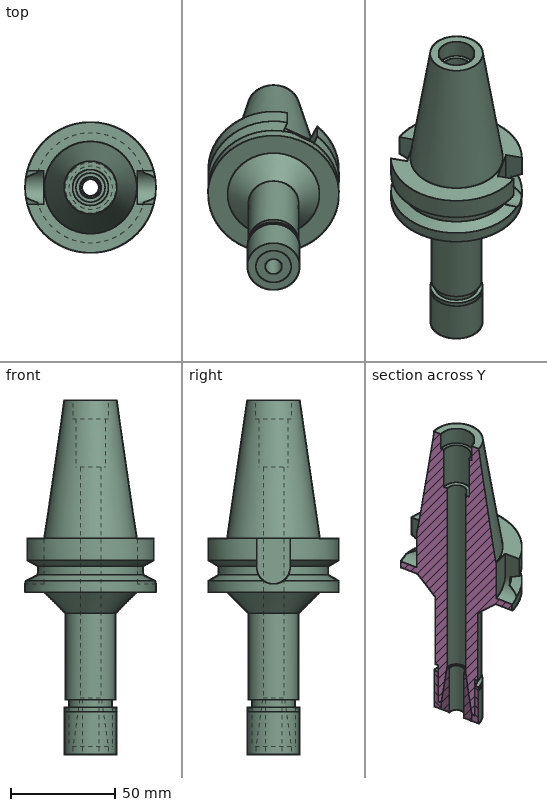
import cadquery as cq
import math


gauge_diameter = 44.45
taper_length = 65.4
taper_ratio = 7 / 24
small_end_diameter = gauge_diameter - taper_length * taper_ratio

flange_diameter = 63.0
flange_top = -1.0
flange_bottom = -27.0
groove_floor_diameter = 53.0
groove_width = 4.2
groove_centre = -16.5
groove_flank_angle = 60.0
groove_depth = (flange_diameter - groove_floor_diameter) / 2
groove_flank_height = groove_depth / math.tan(math.radians(groove_flank_angle))
groove_floor_top = groove_centre + groove_width / 2
groove_floor_bottom = groove_centre - groove_width / 2

slot_width = 16.1
slot_floor_distance = 22.5
slot_bottom = -22.9

body_diameter = 24.2
shoulder_end = -37.0
shoulder_angle = 45.0
shoulder_radius = body_diameter / 2 + (flange_bottom - shoulder_end) * math.tan(math.radians(shoulder_angle))
body_bottom = -78.6
nose_diameter = 20.8

entry_bore_diameter = 17.3
entry_bore_depth = 9.0
thread_bore_diameter = 14.0
thread_bore_depth = 32.0
through_bore_diameter = 10.0

nut_diameter = 25.2
nut_collar_diameter = 25.1
nut_top = -82.3
nut_collar_height = 2.0
nut_bottom = -105.0
nut_lip_thickness = 4.0
nose_bottom = nut_bottom + nut_lip_thickness

collet_front_diameter = 17.0
collet_bore_diameter = 8.0
collet_length = 27.5
collet_half_angle = 8.0
collet_top = nut_bottom + collet_length
collet_rear_radius = (
    collet_front_diameter / 2 - (collet_top - nose_bottom) * math.tan(math.radians(collet_half_angle))
)


def cylinder(diameter, bottom, top):
    """Cylinder on the Z axis between two heights."""
    return cq.Workplane("XY").workplane(offset=bottom).circle(diameter / 2).extrude(top - bottom)


def revolved(profile):
    """Solid of revolution about the Z axis from (radius, z) points."""
    return cq.Workplane("YZ").polyline(profile).close().revolve(360, (0, 0), (0, 1))


def make_collet_blank():
    """Outer shape of the collet, which is also the seat it fills."""
    front_radius = collet_front_diameter / 2
    return revolved([
        (0, nut_bottom),
        (front_radius, nut_bottom),
        (front_radius, nose_bottom),
        (collet_rear_radius, collet_top),
        (0, collet_top),
    ])


def make_drive_slot():
    """Round-ended slot cutter on the +X side, open at the flange's top and outer side."""
    end_radius = slot_width / 2
    end_centre = slot_bottom + end_radius
    return (
        cq.Workplane("YZ", origin=(slot_floor_distance, 0, 0))
        .moveTo(-end_radius, flange_top)
        .lineTo(-end_radius, end_centre)
        .threePointArc((0, slot_bottom), (end_radius, end_centre))
        .lineTo(end_radius, flange_top)
        .close()
        .extrude(flange_diameter / 2)
    )


def make_holder():
    """Taper shank, flange, body and nose in one piece, bored through and seated for the collet."""
    gauge_radius = gauge_diameter / 2
    flange_radius = flange_diameter / 2
    groove_radius = groove_floor_diameter / 2
    body_radius = body_diameter / 2
    nose_radius = nose_diameter / 2
    holder = revolved([
        (0, taper_length),
        (small_end_diameter / 2, taper_length),
        (gauge_radius, 0),
        (gauge_radius, flange_top),
        (flange_radius, flange_top),
        (flange_radius, groove_floor_top + groove_flank_height),
        (groove_radius, groove_floor_top),
        (groove_radius, groove_floor_bottom),
        (flange_radius, groove_floor_bottom - groove_flank_height),
        (flange_radius, flange_bottom),
        (shoulder_radius, flange_bottom),
        (body_radius, shoulder_end),
        (body_radius, body_bottom),
        (nose_radius, body_bottom),
        (nose_radius, nose_bottom),
        (0, nose_bottom),
    ])

    for angle in (0, 180):
        holder = holder.cut(make_drive_slot().rotate((0, 0, 0), (0, 0, 1), angle))

    holder = holder.cut(cylinder(entry_bore_diameter, taper_length - entry_bore_depth, taper_length))
    holder = holder.cut(cylinder(thread_bore_diameter, taper_length - thread_bore_depth, taper_length))
    holder = holder.cut(cylinder(through_bore_diameter, nose_bottom, taper_length))
    return holder.cut(make_collet_blank())


def make_nut():
    """Cap around the holder's nose, with a slightly smaller collar and a lip at the front."""
    collar_bottom = nut_top - nut_collar_height
    nut = cylinder(nut_diameter, nut_bottom, collar_bottom)
    nut = nut.union(cylinder(nut_collar_diameter, collar_bottom, nut_top))
    nut = nut.cut(cylinder(nose_diameter, nose_bottom, nut_top))
    return nut.cut(make_collet_blank())


def make_collet():
    """Collet filling its seat, with a straight bore for the tool."""
    return make_collet_blank().cut(cylinder(collet_bore_diameter, nut_bottom, collet_top))


holder = make_holder()
nut = make_nut()
collet = make_collet()

result = cq.Compound.makeCompound([holder.val(), nut.val(), collet.val()])